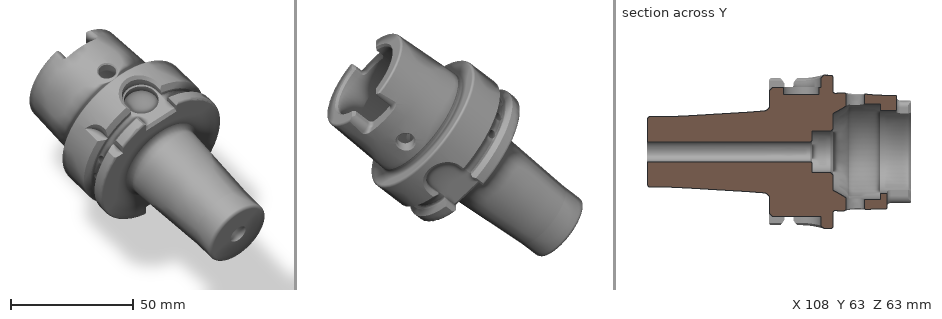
import cadquery as cq
import math


total_length = 108.0
flange_radius = 31.48
flange_face_x = 32.0
flange_end_x = 58.0
flange_edge_fillet = 1.0

shank_mouth_radius = 22.9
shank_large_radius = 24.3
shank_large_x = 30.0
shank_mouth_fillet = 1.0
relief_radius = 24.1
relief_start_x = 30.5
relief_fillet = 1.0

collar_end_x = 60.6
collar_fillet = 2.8
nose_base_radius = 16.8
nose_tip_radius = 14.6
nose_cylinder_x = 98.1
nose_tip_fillet = 1.3

bore_radius = 17.0
bore_mouth_bevel = 0.6
bore_mouth_bevel_depth = 1.1
bore_lip_x = 12.7
undercut_radius = 19.4
undercut_end_x = 25.4
bore_floor_radius = 15.7
bore_floor_angle = 30.0
coolant_seat_radius = 8.4
coolant_seat_depth = 8.6
coolant_seat_bevel = 1.0
through_radius = 4.0
through_bevel = 0.5

groove_x = 50.0
groove_floor_radius = 27.5
groove_half_width = 1.8
groove_wall_top_radius = 29.2
groove_shank_side_rim_x = 46.5
groove_nose_side_rim_x = 53.5
groove_corner_fillet = 0.4

keyway_x = 45.0
keyway_half_width = 8.0
keyway_floor_z = 26.5
keyway_edge_chamfer = 1.3
keyway_floor_bevel = 1.2
chip_pocket_radius = 7.1
chip_pocket_depth = 2.9

notch_offset = 20.1
notch_end_radius = 7.6

balance_hole_radius = 1.78
balance_hole_depth = 16.2
balance_hole_tip_angle = 118.0
balance_hole_angles = (25, 5, -15, -35)

drive_half_width = 6.4
drive_top_z = 21.0
drive_round_radius = 2.8
drive_corner_fillet = 1.6
drive_mouth_bevel = 1.0
drive_mouth_bevel_depth = 1.3
drive_depth_top = 5.9
drive_depth_bottom = 9.7

cross_hole_x = 22.9
cross_hole_radius = 3.7
cross_hole_bevel = 0.5

clearance = 5.4
tolerance = 0.01
diagonal = math.sqrt(0.5)


def turned(outline):
    """Revolve a closed (x, radius) outline about the X axis."""
    return outline.close().revolve(360, (0, 0, 0), (1, 0, 0))


def turned_to_bottom(solid):
    """Half-turn about X: a feature at +Z goes to -Z."""
    return solid.rotate((0, 0, 0), (1, 0, 0), 180)


def make_body():
    relief_arc_x = flange_face_x - relief_fillet
    relief_mid_x = relief_arc_x + relief_fillet * diagonal
    relief_mid_radius = relief_radius + relief_fillet * (1 - diagonal)
    edge_mid = flange_edge_fillet * (1 - diagonal)
    collar_center_radius = nose_base_radius + collar_fillet
    collar_angle = math.asin((collar_end_x - flange_end_x) / collar_fillet)
    collar_start_radius = collar_center_radius - collar_fillet * math.cos(collar_angle)
    collar_mid_x = collar_end_x - collar_fillet * math.sin(collar_angle / 2)
    collar_mid_radius = collar_center_radius - collar_fillet * math.cos(collar_angle / 2)
    outline = (
        cq.Workplane("XY")
        .moveTo(0, 0)
        .lineTo(0, shank_mouth_radius)
        .lineTo(shank_large_x, shank_large_radius)
        .lineTo(relief_start_x, relief_radius)
        .lineTo(relief_arc_x, relief_radius)
        .threePointArc(
            (relief_mid_x, relief_mid_radius),
            (flange_face_x, relief_radius + relief_fillet),
        )
        .lineTo(flange_face_x, flange_radius - flange_edge_fillet)
        .threePointArc(
            (flange_face_x + edge_mid, flange_radius - edge_mid),
            (flange_face_x + flange_edge_fillet, flange_radius),
        )
        .lineTo(flange_end_x, flange_radius)
        .lineTo(flange_end_x, collar_start_radius)
        .threePointArc((collar_mid_x, collar_mid_radius), (collar_end_x, nose_base_radius))
        .lineTo(nose_cylinder_x, nose_tip_radius)
        .lineTo(total_length, nose_tip_radius)
        .lineTo(total_length, 0)
    )
    body = turned(outline)
    body = body.faces("<X").edges().fillet(shank_mouth_fillet)
    return body.faces(">X").edges().fillet(nose_tip_fillet)


def make_bore():
    floor_taper = (undercut_radius - bore_floor_radius) / math.tan(math.radians(bore_floor_angle))
    bore_floor_x = undercut_end_x + floor_taper
    seat_end_x = bore_floor_x + coolant_seat_depth
    outline = (
        cq.Workplane("XY")
        .moveTo(0, 0)
        .lineTo(0, bore_radius + bore_mouth_bevel)
        .lineTo(bore_mouth_bevel_depth, bore_radius)
        .lineTo(bore_lip_x, bore_radius)
        .lineTo(bore_lip_x, undercut_radius)
        .lineTo(undercut_end_x, undercut_radius)
        .lineTo(bore_floor_x, bore_floor_radius)
        .lineTo(bore_floor_x, coolant_seat_radius + coolant_seat_bevel)
        .lineTo(bore_floor_x + coolant_seat_bevel, coolant_seat_radius)
        .lineTo(seat_end_x, coolant_seat_radius)
        .lineTo(seat_end_x, through_radius + through_bevel)
        .lineTo(seat_end_x + through_bevel, through_radius)
        .lineTo(total_length, through_radius)
        .lineTo(total_length, 0)
    )
    return turned(outline)


def make_groove():
    outline = (
        cq.Workplane("XY")
        .moveTo(groove_x - groove_half_width, groove_floor_radius)
        .lineTo(groove_x - groove_half_width, groove_wall_top_radius)
        .lineTo(groove_shank_side_rim_x, flange_radius)
        .lineTo(groove_nose_side_rim_x, flange_radius)
        .lineTo(groove_x + groove_half_width, groove_wall_top_radius)
        .lineTo(groove_x + groove_half_width, groove_floor_radius)
    )
    floor_edges = cq.selectors.RadiusNthSelector(0)
    return turned(outline).edges(floor_edges).fillet(groove_corner_fillet)


def make_flange_end_rounding():
    """Ring of material to remove so that the flange's end edge is rounded."""
    edge_mid = flange_edge_fillet * (1 - diagonal)
    outline = (
        cq.Workplane("XY")
        .moveTo(flange_end_x - flange_edge_fillet, flange_radius)
        .threePointArc(
            (flange_end_x - edge_mid, flange_radius - edge_mid),
            (flange_end_x, flange_radius - flange_edge_fillet),
        )
        .lineTo(flange_end_x, flange_radius)
    )
    return turned(outline)


def make_keyway():
    height = flange_radius + clearance - keyway_floor_z
    length = flange_end_x - keyway_x
    plane = cq.Workplane("XY").workplane(offset=keyway_floor_z)
    round_end = plane.center(keyway_x, 0).circle(keyway_half_width).extrude(height)
    straight = (
        plane.center(keyway_x + length / 2, 0)
        .rect(length, 2 * keyway_half_width)
        .extrude(height)
    )
    return round_end.union(straight)


def make_keyway_floor_bevel():
    return (
        cq.Workplane("XZ")
        .moveTo(flange_end_x - keyway_floor_bevel, keyway_floor_z)
        .lineTo(flange_end_x, keyway_floor_z - keyway_floor_bevel)
        .lineTo(flange_end_x, keyway_floor_z)
        .close()
        .extrude(keyway_half_width, both=True)
    )


def make_chip_pocket():
    return (
        cq.Workplane("XY")
        .workplane(offset=keyway_floor_z - chip_pocket_depth)
        .center(keyway_x, 0)
        .circle(chip_pocket_radius)
        .extrude(chip_pocket_depth)
    )


def is_keyway_rim(edge):
    """True for an edge where a keyway wall meets the flange's outer surface."""
    for share in (0.1, 0.5, 0.9):
        point = edge.positionAt(share)
        off_surface = abs(math.hypot(point.y, point.z) - flange_radius) > tolerance
        if off_surface or abs(point.y) > keyway_half_width + tolerance:
            return False
    return keyway_x - keyway_half_width < edge.Center().x < flange_end_x - tolerance


def cut_keyways(body):
    keyway = make_keyway()
    body = body.cut(keyway).cut(turned_to_bottom(keyway))
    rim = [edge for edge in body.edges().vals() if is_keyway_rim(edge)]
    body = body.newObject(rim).chamfer(keyway_edge_chamfer)
    bevel = make_keyway_floor_bevel()
    return body.cut(bevel).cut(turned_to_bottom(bevel)).cut(make_chip_pocket())


def make_orientation_notch():
    height = flange_radius - notch_offset
    width = flange_radius + clearance - notch_offset
    length = flange_end_x - keyway_x
    plane = cq.Workplane("XY").workplane(offset=notch_offset)
    round_end = (
        plane.center(keyway_x, -notch_offset - notch_end_radius)
        .circle(notch_end_radius)
        .extrude(height)
    )
    straight = (
        plane.center(keyway_x + length / 2, -notch_offset - width / 2)
        .rect(length, width)
        .extrude(height)
    )
    return round_end.union(straight)


def make_balance_hole(angle):
    """Drilled hole with a conical tip, pointing at the part's axis."""
    direction = cq.Vector(0, -math.cos(math.radians(angle)), math.sin(math.radians(angle)))
    axis_point = cq.Vector(groove_x, 0, 0)
    tip_depth = balance_hole_radius / math.tan(math.radians(balance_hole_tip_angle / 2))
    bottom = axis_point + direction * (groove_floor_radius - balance_hole_depth)
    height = flange_radius - groove_floor_radius + balance_hole_depth
    shaft = cq.Solid.makeCylinder(balance_hole_radius, height, bottom, direction)
    tip = cq.Solid.makeCone(balance_hole_radius, 0, tip_depth, bottom, direction * -1)
    return cq.Workplane(shaft).union(cq.Workplane(tip))


def make_drive_slot(depth):
    """Slot at +Z whose side walls roll over into a flat at drive_top_z."""
    wall_top_z = drive_top_z - drive_round_radius
    shoulder_y = drive_half_width + drive_round_radius
    mid_y = shoulder_y - drive_round_radius * diagonal
    mid_z = wall_top_z + drive_round_radius * diagonal
    outer = shank_large_radius
    slot = (
        cq.Workplane("YZ")
        .moveTo(-drive_half_width, 0)
        .lineTo(-drive_half_width, wall_top_z)
        .threePointArc((-mid_y, mid_z), (-shoulder_y, drive_top_z))
        .lineTo(-outer, drive_top_z)
        .lineTo(-outer, outer)
        .lineTo(outer, outer)
        .lineTo(outer, drive_top_z)
        .lineTo(shoulder_y, drive_top_z)
        .threePointArc((mid_y, mid_z), (drive_half_width, wall_top_z))
        .lineTo(drive_half_width, 0)
        .close()
        .extrude(depth)
        .faces(">X")
        .edges("not(<Z or >Z or <Y or >Y)")
        .fillet(drive_corner_fillet)
    )
    mouth_half_width = drive_half_width + drive_mouth_bevel
    mouth = (
        cq.Workplane("XY")
        .moveTo(0, -mouth_half_width)
        .lineTo(drive_mouth_bevel_depth, -drive_half_width)
        .lineTo(drive_mouth_bevel_depth, drive_half_width)
        .lineTo(0, mouth_half_width)
        .close()
        .extrude(drive_top_z)
    )
    return slot.union(mouth)


def cut_cross_hole(body):
    """Drill the solid shank along Z and bevel both rims of the hole."""
    reach = shank_large_radius + clearance
    hole = cq.Workplane("XY").center(cross_hole_x, 0).circle(cross_hole_radius).extrude(reach, both=True)
    rim_span = cross_hole_radius + tolerance
    rims = cq.selectors.BoxSelector(
        (cross_hole_x - rim_span, -rim_span, -reach),
        (cross_hole_x + rim_span, rim_span, reach),
        boundingbox=True,
    )
    wall_seams = cq.selectors.ParallelDirSelector(cq.Vector(0, 0, 1))
    return body.cut(hole).edges(rims - wall_seams).chamfer(cross_hole_bevel)


result = cut_cross_hole(make_body())
result = cut_keyways(result)
result = result.cut(make_flange_end_rounding())
result = result.cut(make_groove())
result = result.cut(make_orientation_notch())
for angle in balance_hole_angles:
    result = result.cut(make_balance_hole(angle))
result = result.cut(make_bore())
result = result.cut(make_drive_slot(drive_depth_top))
result = result.cut(turned_to_bottom(make_drive_slot(drive_depth_bottom)))